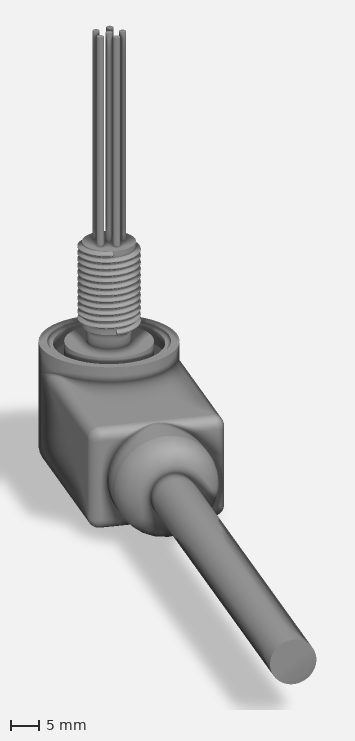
import cadquery as cq
import math

TOTAL_LENGTH = 137.5
TOTAL_HEIGHT = 81.3
HEAD_DIAMETER = 25.0
HEAD_HEIGHT = 22.1
HEAD_RADIUS = HEAD_DIAMETER / 2

BODY_HEIGHT = 19.2
BODY_END_X = 33.7
EDGE_RADIUS = 2.0
COLLAR_DIAMETER = 19.0
COLLAR_END_X = 43.7
COLLAR_ROUND = 5.0
CABLE_DIAMETER = 8.5
CABLE_END_X = TOTAL_LENGTH - HEAD_RADIUS
CABLE_Z = BODY_HEIGHT / 2

GROOVE_INNER_DIAMETER = 16.0
GROOVE_OUTER_DIAMETER = 20.0
GROOVE_DEPTH = 3.0
RECESS_DIAMETER = 22.0
RECESS_DEPTH = 0.4

NECK_DIAMETER = 8.0
THREAD_BOTTOM_Z = 25.2
THREAD_TOP_Z = 41.2
THREAD_MAJOR_RADIUS = 5.6
THREAD_ROOT_RADIUS = 4.8
THREAD_PITCH = 1.25
RIDGE_BASE_WIDTH = 1.1
RIDGE_CREST_WIDTH = 0.1
RIDGE_OVERLAP = 0.1

WIRE_DIAMETER = 1.25
RING_WIRE_COUNT = 5
WIRE_RING_RADIUS = 2.5


def cylinder_z(diameter, bottom, top):
    return cq.Workplane("XY", origin=(0, 0, bottom)).circle(diameter / 2).extrude(top - bottom)


def cylinder_x(diameter, start, end):
    return cq.Workplane("YZ", origin=(start, 0, CABLE_Z)).circle(diameter / 2).extrude(end - start)


def make_housing():
    """Round head merged with a flat-sided body; the top rim of the head stays sharp."""
    block = cq.Workplane("XY").box(
        BODY_END_X, HEAD_DIAMETER, BODY_HEIGHT, centered=(False, True, False)
    )
    block = block.edges("|X or >X").fillet(EDGE_RADIUS)
    head = cylinder_z(HEAD_DIAMETER, 0, HEAD_HEIGHT).faces("<Z").edges().fillet(EDGE_RADIUS)
    return head.union(block)


def make_cable_exit():
    """Collar with a rounded end and the cable leaving it."""
    collar = cylinder_x(COLLAR_DIAMETER, BODY_END_X - EDGE_RADIUS, COLLAR_END_X)
    collar = collar.faces(">X").edges().fillet(COLLAR_ROUND)
    return collar.union(cylinder_x(CABLE_DIAMETER, COLLAR_END_X, CABLE_END_X))


def make_ring_groove():
    """Annular groove with a shallow wider step at its mouth."""
    groove = cylinder_z(GROOVE_OUTER_DIAMETER, HEAD_HEIGHT - GROOVE_DEPTH, HEAD_HEIGHT)
    recess = cylinder_z(RECESS_DIAMETER, HEAD_HEIGHT - RECESS_DEPTH, HEAD_HEIGHT)
    island = cylinder_z(GROOVE_INNER_DIAMETER, HEAD_HEIGHT - GROOVE_DEPTH, HEAD_HEIGHT)
    return groove.union(recess).cut(island)


def make_threaded_sleeve():
    """Sleeve with a helical ridge that stays between its end faces."""
    base_half = RIDGE_BASE_WIDTH / 2
    crest_half = RIDGE_CREST_WIDTH / 2
    start_z = THREAD_BOTTOM_Z + base_half
    helix_height = THREAD_TOP_Z - THREAD_BOTTOM_Z - RIDGE_BASE_WIDTH
    helix = cq.Wire.makeHelix(
        THREAD_PITCH, helix_height, THREAD_ROOT_RADIUS, center=cq.Vector(0, 0, start_z)
    )
    profile = [
        (THREAD_ROOT_RADIUS - RIDGE_OVERLAP, -base_half),
        (THREAD_MAJOR_RADIUS, -crest_half),
        (THREAD_MAJOR_RADIUS, crest_half),
        (THREAD_ROOT_RADIUS - RIDGE_OVERLAP, base_half),
    ]
    ridge = (
        cq.Workplane("XZ", origin=(0, 0, start_z))
        .polyline(profile)
        .close()
        .sweep(cq.Workplane(helix), isFrenet=True)
    )
    return cylinder_z(2 * THREAD_ROOT_RADIUS, THREAD_BOTTOM_Z, THREAD_TOP_Z).union(ridge)


def make_wires():
    """Straight wires rising from the sleeve, the first ring wire towards +Y."""
    ring_angles = [math.radians(90 + 360 * i / RING_WIRE_COUNT) for i in range(RING_WIRE_COUNT)]
    centres = [(0, 0)]
    for angle in ring_angles:
        centres.append((WIRE_RING_RADIUS * math.cos(angle), WIRE_RING_RADIUS * math.sin(angle)))
    return (
        cq.Workplane("XY", origin=(0, 0, THREAD_TOP_Z))
        .pushPoints(centres)
        .circle(WIRE_DIAMETER / 2)
        .extrude(TOTAL_HEIGHT - THREAD_TOP_Z)
    )


neck = cylinder_z(NECK_DIAMETER, HEAD_HEIGHT, THREAD_BOTTOM_Z)
result = (
    make_housing()
    .union(make_cable_exit())
    .cut(make_ring_groove())
    .union(neck)
    .union(make_threaded_sleeve())
    .union(make_wires())
)